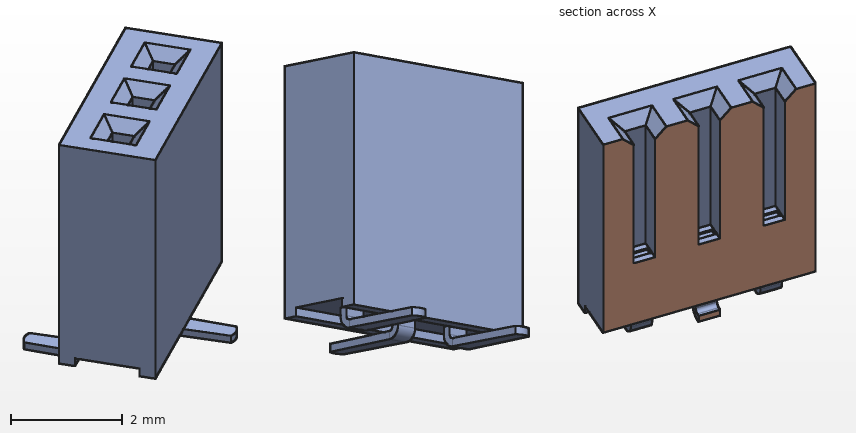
import cadquery as cq

pin_count = 3
pitch = 1.27
housing_width = 1.8
housing_length = 4.16
housing_bottom = 0.23
housing_top = 4.83
notch_width = 1.2
notch_depth = 0.16

mouth_side = 0.85
socket_side = 0.41
funnel_depth = (mouth_side - socket_side) / 2
socket_depth = 3.0

groove_width = 0.14
groove_floor_length = 0.35
groove_depth = (socket_side - groove_floor_length) / 2

metal_thickness = 0.15
contact_width = 0.42
bend_inner_radius = 0.075
bend_outer_radius = bend_inner_radius + metal_thickness
contact_span = 3.576
tail_reach = contact_span / 2
tip_width = 0.335
tip_bulge = 0.05

notch_ceiling = housing_bottom + notch_depth
socket_floor = housing_top - socket_depth
bend_x = metal_thickness / 2 + bend_inner_radius


def pin_positions():
    """Y position of each contact, centred on the housing."""
    first = -pitch * (pin_count - 1) / 2
    return [first + index * pitch for index in range(pin_count)]


def make_housing():
    """Rectangular block with a shallow notch running along its underside."""
    block = cq.Workplane("XY").workplane(offset=housing_bottom).rect(housing_width, housing_length)
    block = block.extrude(housing_top - housing_bottom)
    notch = cq.Workplane("XY").workplane(offset=housing_bottom).rect(notch_width, housing_length)
    return block.cut(notch.extrude(notch_depth))


def make_socket(y):
    """Square socket with a funnel mouth and a shallow groove across its floor."""
    funnel = (
        cq.Workplane("XY", origin=(0, y, housing_top))
        .rect(mouth_side, mouth_side)
        .workplane(offset=-funnel_depth)
        .rect(socket_side, socket_side)
        .loft(ruled=True)
    )
    well = cq.Workplane("XY", origin=(0, y, socket_floor)).rect(socket_side, socket_side)
    well = well.extrude(socket_depth - funnel_depth)
    groove = (
        cq.Workplane("YZ", origin=(-groove_width / 2, y, socket_floor))
        .moveTo(-socket_side / 2, 0)
        .lineTo(socket_side / 2, 0)
        .lineTo(groove_floor_length / 2, -groove_depth)
        .lineTo(-groove_floor_length / 2, -groove_depth)
        .close()
        .extrude(groove_width)
    )
    return funnel.union(well).union(groove)


def make_contact(y, side):
    """Bent contact: short stem, rounded bend and a tapered tail toward side (-1 or +1) along X."""
    half_metal = metal_thickness / 2
    bend_profile = (
        cq.Workplane("XZ", origin=(0, contact_width / 2, 0))
        .moveTo(half_metal, notch_ceiling)
        .lineTo(half_metal, bend_outer_radius)
        .radiusArc((-bend_x, 0), bend_outer_radius)
        .lineTo(-bend_x, metal_thickness)
        .radiusArc((-half_metal, bend_outer_radius), -bend_inner_radius)
        .lineTo(-half_metal, notch_ceiling)
        .close()
    )
    bend = bend_profile.extrude(contact_width)

    half_root = contact_width / 2
    half_tip = tip_width / 2
    shoulder_x = -(tail_reach - tip_bulge)
    tail = (
        cq.Workplane("XY")
        .moveTo(-bend_x, -half_root)
        .lineTo(shoulder_x, -half_tip)
        .threePointArc((-tail_reach, 0), (shoulder_x, half_tip))
        .lineTo(-bend_x, half_root)
        .close()
        .extrude(metal_thickness)
    )
    contact = bend.union(tail)
    if side > 0:
        contact = contact.mirror("YZ")
    return contact.translate((0, y, 0))


result = make_housing()
for index, pin_y in enumerate(pin_positions()):
    tail_side = 1 if index % 2 else -1
    result = result.cut(make_socket(pin_y))
    result = result.union(make_contact(pin_y, tail_side))